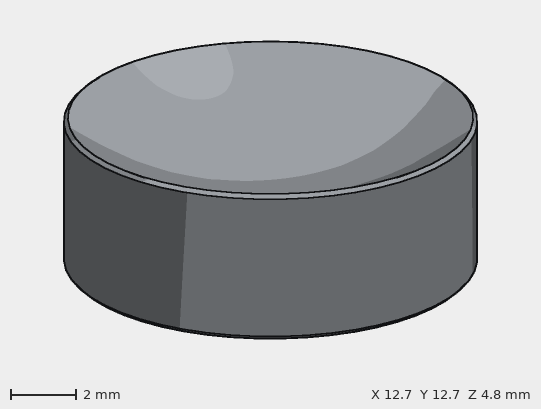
import cadquery as cq

diameter = 12.7
edge_height = 4.8
chamfer = 0.13
dish_depth = 1.82

radius = diameter / 2
rim_radius = radius - chamfer

half_section = (
    cq.Workplane("YZ")
    .moveTo(0, 0)
    .lineTo(rim_radius, 0)
    .lineTo(radius, chamfer)
    .lineTo(radius, edge_height - chamfer)
    .lineTo(rim_radius, edge_height)
)

dish_radius = (rim_radius**2 + dish_depth**2) / (2 * dish_depth)
dish_bottom = edge_height - dish_depth
arc_x = rim_radius / 2
arc_z = dish_bottom + dish_radius - (dish_radius**2 - arc_x**2) ** 0.5

result = (
    half_section.threePointArc((arc_x, arc_z), (0, dish_bottom))
    .close()
    .revolve(360, (0, 0, 0), (0, 1, 0))
)